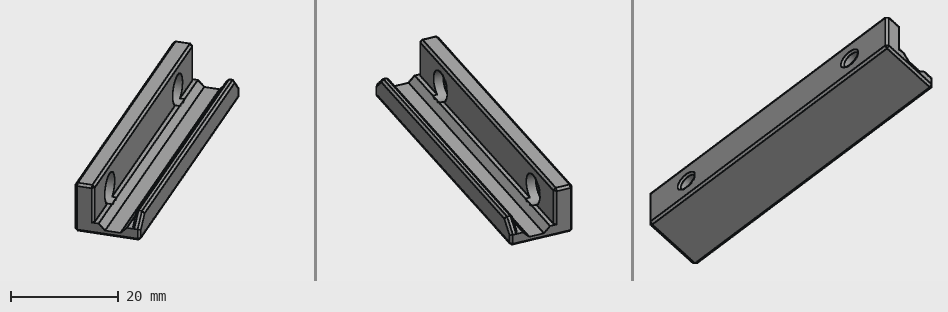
import cadquery as cq

width = 12.8
length = 60.0
height = 10.1
edge_chamfer = 0.5

wall_thickness = 3.8
floor_height = 2.4
lip_thickness = 1.6
lip_height = 5.0
groove_depth = 1.25
groove_left = 4.7
groove_right = 10.2

hole_diameter = 3.5
countersink_diameter = 4.3
hole_end_distance = 9.5
hole_height = height / 2
counterbore_diameter = 6.0
counterbore_start = 1.85

lip_left = width - lip_thickness
lip_slope = lip_height - floor_height


def block(x_min, x_max, z_max):
    """Full-length rectangular bar standing on the base plane."""
    return cq.Workplane("XY").box(x_max - x_min, length, z_max, centered=False).translate((x_min, 0, 0))


def make_wall():
    """Tall wall, chamfered on every edge; the floor covers the lower inner ones."""
    return block(0, wall_thickness, height).edges().chamfer(edge_chamfer)


def make_lip():
    """Low lip whose ends slope down to the floor, with chamfered edges."""
    lip = (
        cq.Workplane("YZ", origin=(lip_left, 0, 0))
        .moveTo(0, 0)
        .lineTo(length, 0)
        .lineTo(length, floor_height)
        .lineTo(length - lip_slope, lip_height)
        .lineTo(lip_slope, lip_height)
        .lineTo(0, floor_height)
        .close()
        .extrude(lip_thickness)
    )
    return lip.faces("<X or >X or <Z").edges().chamfer(edge_chamfer)


def make_floor():
    """Base plate, chamfered around the bottom and at its upright corners."""
    plate = block(0, lip_left + lip_thickness / 2, floor_height)
    return plate.edges("(<X and |Z) or (<X and <Z) or (|X and <Z)").chamfer(edge_chamfer)


def cut_groove(body):
    """Trapezoidal groove with 45-degree flanks along the floor."""
    groove = (
        cq.Workplane("XZ")
        .moveTo(groove_left, floor_height)
        .lineTo(groove_left + groove_depth, floor_height - groove_depth)
        .lineTo(groove_right - groove_depth, floor_height - groove_depth)
        .lineTo(groove_right, floor_height)
        .close()
        .extrude(-length)
    )
    return body.cut(groove)


def cut_screw_hole(body, y):
    """Hole countersunk on the outer side, with a wider bore on the inner side that also clips the floor."""
    outer_face = cq.Workplane("YZ").center(y, hole_height)
    hole = outer_face.circle(hole_diameter / 2).extrude(wall_thickness)
    countersink_depth = (countersink_diameter - hole_diameter) / 2
    countersink = cq.Solid.makeCone(
        countersink_diameter / 2,
        hole_diameter / 2,
        countersink_depth,
        pnt=cq.Vector(0, y, hole_height),
        dir=cq.Vector(1, 0, 0),
    )
    bore = (
        outer_face.workplane(offset=counterbore_start)
        .circle(counterbore_diameter / 2)
        .extrude(groove_left - counterbore_start)
    )
    return body.cut(hole).cut(countersink).cut(bore)


result = make_floor().union(make_wall()).union(make_lip())
result = cut_groove(result)
for hole_y in (hole_end_distance, length - hole_end_distance):
    result = cut_screw_hole(result, hole_y)